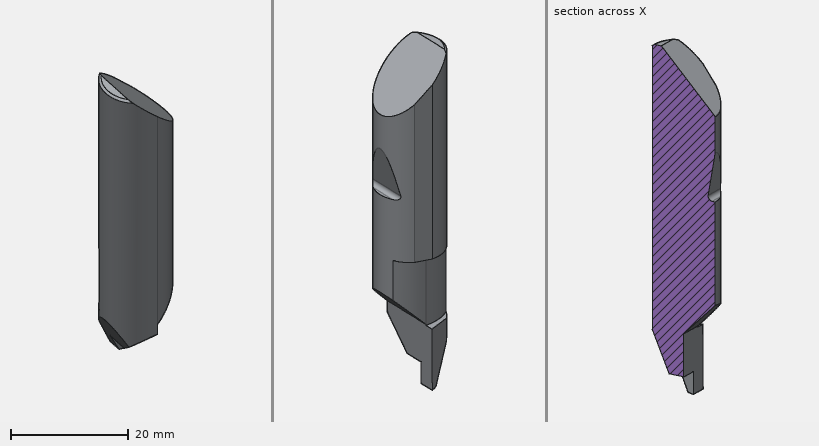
import cadquery as cq
import math

DIAMETER = 12.7
RADIUS = DIAMETER / 2
LENGTH = 63.5
MARGIN = 5.0
FAR = RADIUS + MARGIN

TOP_LAND_Y = -4.45
RIM_CHAMFER_WIDTH = 0.45
RIM_CHAMFER_HEIGHT = 0.35

FLAT_SPAN_ANGLE = 30.0

CLAMP_NOTCH_BOTTOM_Z = 37.2
CLAMP_NOTCH_TOP_Z = 46.1
CLAMP_NOTCH_ANGLE = 10.0
CLAMP_NOTCH_CORNER_RADIUS = 0.8

NECK_BOTTOM_Z = 11.8
NECK_TOP_Z = 25.4
NECK_CREST_X = -4.55
NECK_FRONT_EDGE_X = -2.7
NECK_BACK_EDGE_X = -2.8

RAKE_START_Z = 12.0
TIP_FLOOR_Y = -1.15
TIP_RELIEF_HEIGHT = 0.15
UNDERSIDE_TOP_Z = 11.6
TIP_INNER_X = -3.1
TIP_INNER_RELIEF_ANGLE = 6.0
STEP_Z = 4.15
STEP_END_X = 0.75
FLANK_EDGE_X = -4.55
FLANK_TOP_X = -6.25


def shank():
    """Round bar with a small chamfer around the rim of the top end."""
    profile = (
        cq.Workplane("XZ")
        .moveTo(0, 0)
        .lineTo(RADIUS, 0)
        .lineTo(RADIUS, LENGTH - RIM_CHAMFER_HEIGHT)
        .lineTo(RADIUS - RIM_CHAMFER_WIDTH, LENGTH)
        .lineTo(0, LENGTH)
        .close()
    )
    return profile.revolve(360, (0, 0, 0), (0, 1, 0))


def side_prism(points):
    """Prism across the whole part in X from a (y, z) outline."""
    return cq.Workplane("YZ").polyline(points).close().extrude(FAR, both=True)


def top_slope():
    """45 degree slope that takes off the +Y side of the top end."""
    return side_prism([
        (TOP_LAND_Y - MARGIN, LENGTH + MARGIN),
        (FAR, LENGTH + TOP_LAND_Y - FAR),
        (FAR, LENGTH + MARGIN),
    ])


def side_flat():
    """Wedge outside the chord that forms the side flat, above the recess."""
    angle = math.radians(FLAT_SPAN_ANGLE)
    end_x = -RADIUS * math.cos(angle)
    end_y = RADIUS * math.sin(angle)
    return (
        cq.Workplane("XY", origin=(0, 0, NECK_BOTTOM_Z))
        .polyline([(-RADIUS, 0), (end_x, end_y), (-FAR, end_y), (-FAR, 0)])
        .close()
        .extrude(LENGTH)
    )


def clamp_notch():
    """Sloped notch with a rounded inner corner on the +Y side."""
    slope = math.tan(math.radians(CLAMP_NOTCH_ANGLE))
    depth = (CLAMP_NOTCH_TOP_Z - CLAMP_NOTCH_BOTTOM_Z) * slope
    outer_z = CLAMP_NOTCH_TOP_Z + MARGIN / slope
    notch = side_prism([
        (RADIUS - depth, CLAMP_NOTCH_BOTTOM_Z),
        (FAR, CLAMP_NOTCH_BOTTOM_Z),
        (FAR, outer_z),
    ])
    return notch.edges("|X").edges("<Y").fillet(CLAMP_NOTCH_CORNER_RADIUS)


def shank_y(x):
    """Y half-width of the shank circle at a given x."""
    return math.sqrt(RADIUS**2 - x**2)


def neck_floor_side(edge_x, side):
    """Recess from y = 0 to one side, its floor an arc tangent to Y at the crest."""
    edge_y = side * shank_y(edge_x)
    sagitta = edge_x - NECK_CREST_X
    floor_radius = (edge_y**2 + sagitta**2) / (2 * sagitta)
    mid_y = edge_y / 2
    mid_x = NECK_CREST_X + floor_radius - math.sqrt(floor_radius**2 - mid_y**2)
    return (
        cq.Workplane("XY", origin=(0, 0, NECK_BOTTOM_Z))
        .moveTo(NECK_CREST_X, 0)
        .threePointArc((mid_x, mid_y), (edge_x, edge_y))
        .lineTo(edge_x, side * FAR)
        .lineTo(-FAR, side * FAR)
        .lineTo(-FAR, 0)
        .close()
        .extrude(NECK_TOP_Z - NECK_BOTTOM_Z)
    )


def neck_recess():
    """Recess on the -X side whose floor bulges outward."""
    front = neck_floor_side(NECK_FRONT_EDGE_X, -1)
    back = neck_floor_side(NECK_BACK_EDGE_X, 1)
    return front.union(back)


def rake_cut():
    """Flat on y = 0 that runs out through a 45 degree slope on the +Y side."""
    return side_prism([
        (0, -MARGIN),
        (0, RAKE_START_Z),
        (FAR, RAKE_START_Z + FAR),
        (FAR, -MARGIN),
    ])


def underside_cut():
    """Sloped underside and the slightly relieved bottom face of the tip."""
    slope = (UNDERSIDE_TOP_Z - TIP_RELIEF_HEIGHT) / (RADIUS + TIP_FLOOR_Y)
    return side_prism([
        (0, 0),
        (TIP_FLOOR_Y, TIP_RELIEF_HEIGHT),
        (-FAR, UNDERSIDE_TOP_Z + MARGIN * slope),
        (-FAR, -MARGIN),
        (0, -MARGIN),
    ])


def nose_cut():
    """Step beside the tip and the 45 degree slope up to the +X side."""
    slope = (
        cq.Workplane("XZ")
        .polyline([
            (STEP_END_X, STEP_Z),
            (FAR, STEP_Z + FAR - STEP_END_X),
            (FAR, -MARGIN),
            (STEP_END_X, -MARGIN),
        ])
        .close()
        .extrude(FAR, both=True)
    )
    inner_shift = FAR * math.tan(math.radians(TIP_INNER_RELIEF_ANGLE))
    step = (
        cq.Workplane("XY", origin=(0, 0, -MARGIN))
        .polyline([
            (TIP_INNER_X, 0),
            (TIP_INNER_X - inner_shift, -FAR),
            (STEP_END_X, -FAR),
            (STEP_END_X, 0),
        ])
        .close()
        .extrude(STEP_Z + MARGIN)
    )
    return slope.union(step)


def flank_outline(side_x):
    """Region beside the tip whose inner side runs from (side_x, 0) to the shank."""
    edge_y = -shank_y(FLANK_EDGE_X)
    return [(side_x, 0), (FLANK_EDGE_X, edge_y), (-FAR, edge_y), (-FAR, 0)]


def flank_cut():
    """Slightly twisted side relief of the tip, below the recess."""
    return (
        cq.Workplane("XY")
        .polyline(flank_outline(-RADIUS))
        .close()
        .workplane(offset=NECK_BOTTOM_Z)
        .polyline(flank_outline(FLANK_TOP_X))
        .close()
        .loft(ruled=True)
    )


result = shank()
for cutter in (
    top_slope(),
    side_flat(),
    clamp_notch(),
    neck_recess(),
    rake_cut(),
    underside_cut(),
    nose_cut(),
    flank_cut(),
):
    result = result.cut(cutter)